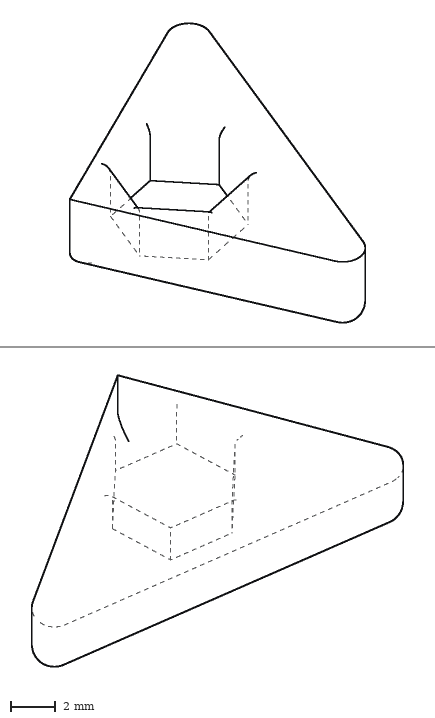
import cadquery as cq
import math

side = 13.58
thickness = 4.0
edge_radius = 1.0
bottom_radius = 0.99
leg = side + edge_radius * math.sqrt(2)

pocket_center = 3.79
pocket_flats = 5.32
pocket_depth = 3.0
pocket_angle = 15
rim_radius = 0.5


def make_block():
    block = (
        cq.Workplane("XY")
        .polyline([(0, 0), (leg, 0), (0, leg)])
        .close()
        .extrude(thickness)
    )
    acute_corners = block.edges("|Z").edges(">X or >Y")
    return acute_corners.fillet(edge_radius)


def round_bottom(block):
    return block.faces("<Z").edges().fillet(bottom_radius)


def cut_nut_pocket(block):
    pocket_diameter = pocket_flats / math.cos(math.pi / 6)
    pocket = (
        cq.Workplane("XY", origin=(pocket_center, pocket_center, thickness - pocket_depth))
        .transformed(rotate=(0, 0, pocket_angle))
        .polygon(6, pocket_diameter)
        .extrude(pocket_depth)
    )
    block = block.cut(pocket)
    rim_reach = pocket_diameter / 2 + rim_radius
    rim_zone = cq.selectors.BoxSelector(
        (pocket_center - rim_reach, pocket_center - rim_reach, thickness - rim_radius / 2),
        (pocket_center + rim_reach, pocket_center + rim_reach, thickness + rim_radius / 2),
    )
    return block.faces(">Z").edges(rim_zone).fillet(rim_radius)


result = cut_nut_pocket(round_bottom(make_block()))